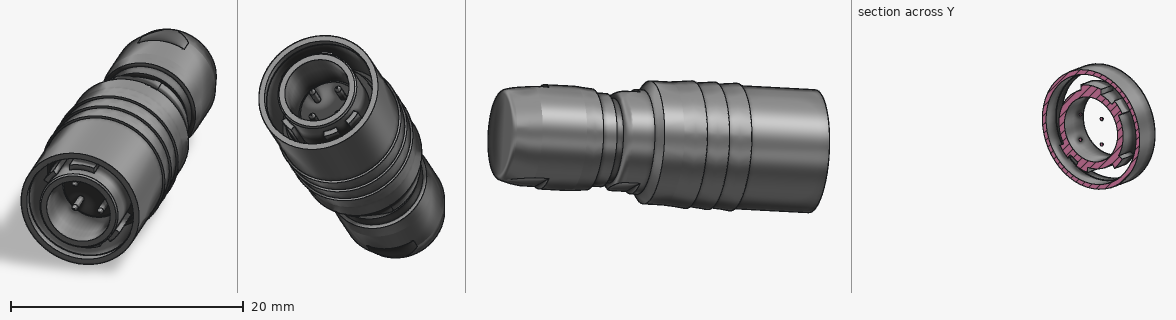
import cadquery as cq
import math

length = 28.5

clamp_r = 4.5
clamp_end_r = 3.85
clamp_cone_length = 2.5
clamp_end_round = 0.5
clamp_front_r = 4.35
clamp_taper_y = 22.0
clamp_front_y = 20.5
neck_r = 4.02
neck_front_y = 19.18
groove_r = 3.65
groove_front_y = 18.5

rear_body_round = 0.68
wrench_flat_z = 4.0
clamp_flat_y = 24.7
rear_body_flat_y = 16.53

shell_r = 5.3
shell_chamfer_rear_y = 15.93
shell_chamfer_front_y = 15.3
ridge_r = 5.5
ridge_pitch = 2.0
ridge_count = 3
ridge_front_y = 7.52
shell_front_y = 0.48

shell_bore_r = 4.8
shell_mouth_end_y = 1.28
undercut_r = 4.85
socket_floor_y = 6.85
core_r = 4.3
core_root_round = 0.25
core_front_y = 5.7
shoulder_r = 4.05
shoulder_front_y = 4.55

sleeve_r = 3.5
sleeve_edge = 0.15
sleeve_bore_r = 2.85
insert_face_y = 4.55
insert_chamfer = 0.2
pin_r = 0.28
pin_offset = 1.15
pin_tip_y = 2.45
pin_tip_length = 0.35
pin_tip_flat_r = 0.05

key_front_y = 1.0
key_r = 3.95
main_key_width = 2.22
small_key_span = 19.0
small_key_angles = [139.5, 220.5, 285.0, 319.5]


def turned(profile):
    """Revolve a closed (radius, Y) profile about the Y axis."""
    return profile.close().revolve(360, (0, 0, 0), (0, 1, 0))


def outer_body():
    """Solid envelope of the clamp nut, rear body and shell."""
    rim_mid = rear_body_round * (1 - math.sqrt(0.5))
    profile = (
        cq.Workplane("XY")
        .moveTo(0, length)
        .lineTo(clamp_end_r, length)
        .lineTo(clamp_r, length - clamp_cone_length)
        .lineTo(clamp_r, clamp_taper_y)
        .lineTo(clamp_front_r, clamp_front_y)
        .lineTo(neck_r, clamp_front_y)
        .lineTo(neck_r, neck_front_y)
        .lineTo(groove_r, neck_front_y)
        .lineTo(groove_r, groove_front_y)
        .lineTo(clamp_r - rear_body_round, groove_front_y)
        .threePointArc(
            (clamp_r - rim_mid, groove_front_y - rim_mid),
            (clamp_r, groove_front_y - rear_body_round),
        )
        .lineTo(clamp_r, shell_chamfer_rear_y)
        .lineTo(shell_r, shell_chamfer_front_y)
        .lineTo(shell_r, ridge_front_y + ridge_count * ridge_pitch)
    )
    for ridge in reversed(range(ridge_count)):
        steep_y = ridge_front_y + ridge * ridge_pitch
        profile = profile.lineTo(ridge_r, steep_y).lineTo(shell_r, steep_y)
    profile = profile.lineTo(shell_r, shell_front_y).lineTo(0, shell_front_y)
    return turned(profile).faces(">Y").edges().fillet(clamp_end_round)


def wrench_flats(rear_y, front_y):
    """Cutters above and below the axis that leave two flats."""
    depth = 2 * (clamp_r - wrench_flat_z)
    cutters = cq.Workplane("XY")
    for side in (1, -1):
        block = cq.Workplane("XY").box(2 * clamp_r, rear_y - front_y, depth)
        middle_y = (rear_y + front_y) / 2
        middle_z = side * (wrench_flat_z + depth / 2)
        cutters = cutters.add(block.translate((0, middle_y, middle_z)))
    return cutters.combine()


def socket_space():
    """Ring-shaped space between the shell and the core, with a rounded root."""
    root_mid = core_root_round * (1 - math.sqrt(0.5))
    return turned(
        cq.Workplane("XY")
        .moveTo(0, shell_front_y)
        .lineTo(shell_bore_r, shell_front_y)
        .lineTo(shell_bore_r, shell_mouth_end_y)
        .lineTo(undercut_r, shell_mouth_end_y)
        .lineTo(undercut_r, socket_floor_y)
        .lineTo(core_r + core_root_round, socket_floor_y)
        .threePointArc(
            (core_r + root_mid, socket_floor_y - root_mid),
            (core_r, socket_floor_y - core_root_round),
        )
        .lineTo(core_r, core_front_y)
        .lineTo(shoulder_r, core_front_y)
        .lineTo(shoulder_r, shoulder_front_y)
        .lineTo(0, shoulder_front_y)
    )


def sleeve_bore():
    """Space inside the sleeve, in front of the insert."""
    return turned(
        cq.Workplane("XY")
        .moveTo(0, 0)
        .lineTo(sleeve_bore_r, 0)
        .lineTo(sleeve_bore_r, insert_face_y + insert_chamfer)
        .lineTo(sleeve_bore_r - insert_chamfer, insert_face_y)
        .lineTo(0, insert_face_y)
    )


def sleeve():
    """Contact sleeve with a chamfered lip, still solid inside."""
    return turned(
        cq.Workplane("XY")
        .moveTo(0, socket_floor_y)
        .lineTo(sleeve_r, socket_floor_y)
        .lineTo(sleeve_r, sleeve_edge)
        .lineTo(sleeve_r - sleeve_edge, 0)
        .lineTo(0, 0)
    )


def pins():
    """Four contact pins standing on the insert, each with a conical tip."""
    start = cq.Workplane("XZ", origin=(0, pin_tip_y, 0))
    return (
        start.rect(2 * pin_offset, 2 * pin_offset, forConstruction=True)
        .vertices()
        .circle(pin_r)
        .extrude(-(socket_floor_y - pin_tip_y))
        .faces("<Y")
        .chamfer(pin_tip_length, pin_r - pin_tip_flat_r)
    )


def keys():
    """One wide key on top of the sleeve and narrow ones around it."""
    key_length = socket_floor_y - key_front_y
    root_r = (sleeve_r + sleeve_bore_r) / 2
    start = cq.Workplane("XZ", origin=(0, key_front_y, 0))
    ring = start.circle(key_r).circle(root_r).extrude(-key_length)
    sectors = start.center(0, key_r).rect(main_key_width, key_r).extrude(-key_length)
    reach = 2 * key_r
    for angle in small_key_angles:
        corners = [(0, 0)]
        for side in (-1, 1):
            direction = math.radians(angle + side * small_key_span / 2)
            corners.append((reach * math.cos(direction), reach * math.sin(direction)))
        sectors = sectors.union(start.polyline(corners).close().extrude(-key_length))
    return ring.intersect(sectors)


result = outer_body()
result = result.cut(wrench_flats(length, clamp_flat_y))
result = result.cut(wrench_flats(groove_front_y, rear_body_flat_y))
result = result.cut(socket_space())
result = result.union(sleeve()).union(keys())
result = result.cut(sleeve_bore())
result = result.union(pins())